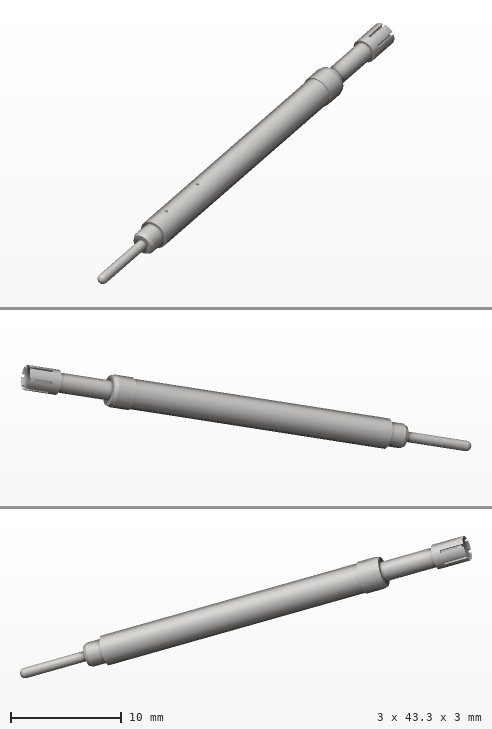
import cadquery as cq
import math

total_length = 43.3
front_y = total_length / 2
rear_y = -total_length / 2

head_diameter = 2.3
head_length = 3.07
slot_count = 6
slot_width = 0.25
slot_length = 2.25
slot_depth = 0.2
cup_angle = 90.0

plunger_diameter = 1.8
plunger_length = 5.02

collar_diameter = 3.0
collar_length = 2.1
collar_taper_length = 0.4
barrel_diameter = 2.75
barrel_rear_from_front = 35.1

dimple_diameter = 0.3
dimple_depth = 0.15
dimples_from_front = (28.4, 33.12)

bushing_diameter = 2.25
bushing_length = 1.75
bushing_taper_length = 0.3
bushing_taper_depth = 0.17
pin_diameter = 0.95

head_rear_y = front_y - head_length
collar_front_y = head_rear_y - plunger_length
collar_rear_y = collar_front_y - collar_length
barrel_rear_y = front_y - barrel_rear_from_front
bushing_rear_y = barrel_rear_y - bushing_length
pin_radius = pin_diameter / 2
dome_start_y = rear_y + pin_radius


def turned_body():
    """Revolve the half profile of the whole probe about the Y axis."""
    head_radius = head_diameter / 2
    cup_depth = head_radius / math.tan(math.radians(cup_angle / 2))
    plunger_radius = plunger_diameter / 2
    collar_radius = collar_diameter / 2
    barrel_radius = barrel_diameter / 2
    bushing_radius = bushing_diameter / 2
    dome_middle = pin_radius * math.sqrt(0.5)
    profile = (
        cq.Workplane("XY")
        .moveTo(0, front_y - cup_depth)
        .lineTo(head_radius, front_y)
        .lineTo(head_radius, head_rear_y)
        .lineTo(plunger_radius, head_rear_y)
        .lineTo(plunger_radius, collar_front_y)
        .lineTo(barrel_radius, collar_front_y)
        .lineTo(collar_radius, collar_front_y - collar_taper_length)
        .lineTo(collar_radius, collar_rear_y)
        .lineTo(barrel_radius, collar_rear_y)
        .lineTo(barrel_radius, barrel_rear_y)
        .lineTo(bushing_radius, barrel_rear_y)
        .lineTo(bushing_radius, bushing_rear_y + bushing_taper_length)
        .lineTo(bushing_radius - bushing_taper_depth, bushing_rear_y)
        .lineTo(pin_radius, bushing_rear_y)
        .lineTo(pin_radius, dome_start_y)
        .threePointArc((dome_middle, dome_start_y - dome_middle), (0, rear_y))
        .close()
    )
    return profile.revolve(360, (0, 0, 0), (0, 1, 0))


def head_slots():
    """Lengthwise slots spaced evenly round the head, open at its front face."""
    slot_floor_radius = head_diameter / 2 - slot_depth
    slot = (
        cq.Workplane("XY")
        .box(slot_width, slot_length, head_diameter, centered=(True, False, False))
        .translate((0, front_y - slot_length, slot_floor_radius))
    )
    slots = cq.Workplane("XY")
    for index in range(slot_count):
        angle = index * 360 / slot_count
        slots = slots.add(slot.rotate((0, 0, 0), (0, 1, 0), angle))
    return slots.combine()


def barrel_dimples():
    """Small blind round dimples in the top of the barrel."""
    floor_z = barrel_diameter / 2 - dimple_depth
    centers = [(0, front_y - distance) for distance in dimples_from_front]
    return (
        cq.Workplane("XY", origin=(0, 0, floor_z))
        .pushPoints(centers)
        .circle(dimple_diameter / 2)
        .extrude(barrel_diameter)
    )


result = turned_body().cut(head_slots()).cut(barrel_dimples())